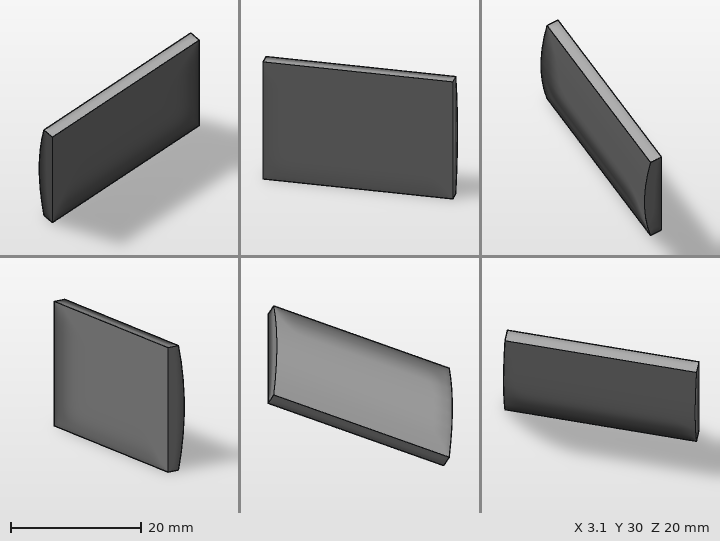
import cadquery as cq

length = 30.0
height = 20.0
center_thickness = 3.1
edge_thickness = 1.98

half_height = height / 2
flat_x = center_thickness / 2
apex_x = flat_x - center_thickness
edge_x = flat_x - edge_thickness

result = (
    cq.Workplane("XZ")
    .moveTo(flat_x, -half_height)
    .lineTo(flat_x, half_height)
    .lineTo(edge_x, half_height)
    .threePointArc((apex_x, 0), (edge_x, -half_height))
    .close()
    .extrude(length / 2, both=True)
)